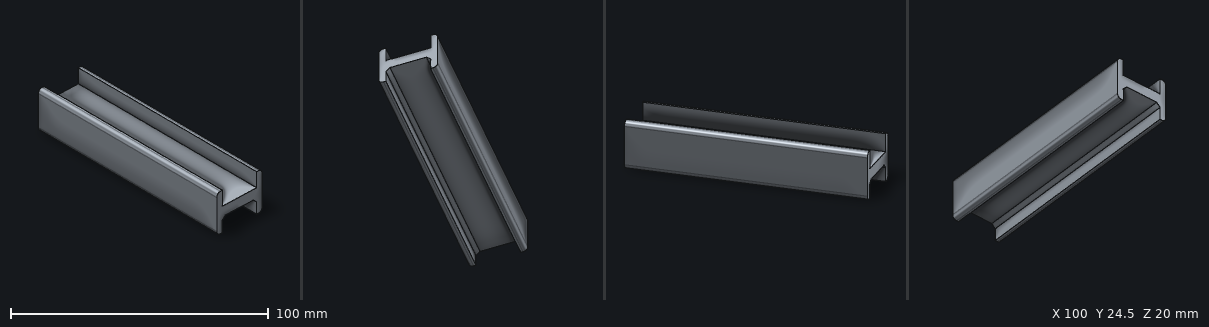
import cadquery as cq

length = 100.0
width = 24.5
height = 20.0

wall = 3.0
edge_radius = 2.0
upper_depth = 7.5
lower_depth = 7.5
corner_chamfer = 1.7

channel_width = width - 2 * wall


def rail_body():
    """Solid bar with its four long outer edges rounded."""
    return cq.Workplane("XY").box(length, width, height).edges("|X").fillet(edge_radius)


def upper_channel():
    """Square-cornered channel open at the top."""
    return cq.Workplane("XY").box(length, channel_width, upper_depth).translate(
        (0, 0, (height - upper_depth) / 2)
    )


def lower_channel():
    """Channel open at the bottom, with chamfered corners under the web."""
    channel = cq.Workplane("XY").box(length, channel_width, lower_depth)
    channel = channel.edges("|X and >Z").chamfer(corner_chamfer)
    return channel.translate((0, 0, (lower_depth - height) / 2))


result = rail_body().cut(upper_channel()).cut(lower_channel())